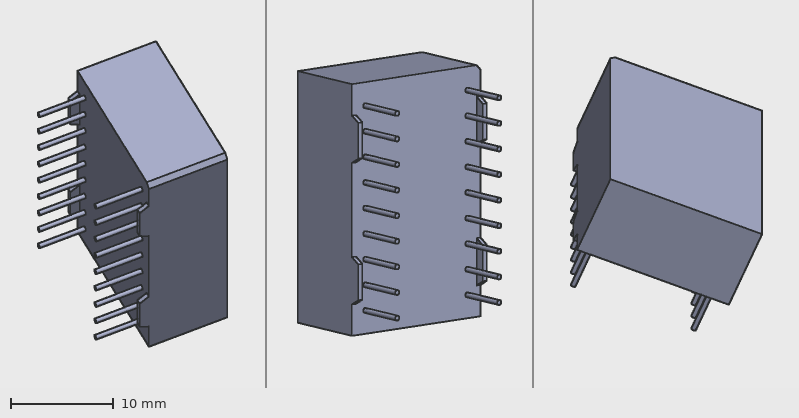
import cadquery as cq
import math

width = 16.0
depth = 8.5
height = 25.0
corner_chamfer = 0.5

pin_diameter = 0.5
pin_length = 5.0
pins_per_row = 9
pin_column_span = 20.32
pin_pitch = pin_column_span / (pins_per_row - 1)
row_spacing = 12.7

foot_thickness = 0.5
foot_height = 1.0
foot_tip_length = 3.55
foot_flank_angle = 30.0
foot_base_length = foot_tip_length + 2 * foot_height * math.tan(math.radians(foot_flank_angle))
foot_offset = 7.02


def make_body():
    """Box with its front face on Y = 0 and the top +X edge chamfered."""
    box = cq.Workplane("XY").box(width, depth, height, centered=(True, False, True))
    return box.edges(">X and >Z").chamfer(corner_chamfer)


def make_pins():
    """Round pins standing out of the front face."""
    return (
        cq.Workplane("XZ")
        .rarray(row_spacing, pin_pitch, 2, pins_per_row)
        .circle(pin_diameter / 2)
        .extrude(pin_length)
    )


def make_foot(x_start, z_center):
    """Trapezoidal standoff, thin along X, tapering away from the front face."""
    outline = [
        (0, z_center - foot_base_length / 2),
        (-foot_height, z_center - foot_tip_length / 2),
        (-foot_height, z_center + foot_tip_length / 2),
        (0, z_center + foot_base_length / 2),
    ]
    plane = cq.Workplane("YZ").workplane(offset=x_start)
    return plane.polyline(outline).close().extrude(foot_thickness)


result = make_body().union(make_pins())
for x_start in (-width / 2, width / 2 - foot_thickness):
    for z_center in (-foot_offset, foot_offset):
        result = result.union(make_foot(x_start, z_center))